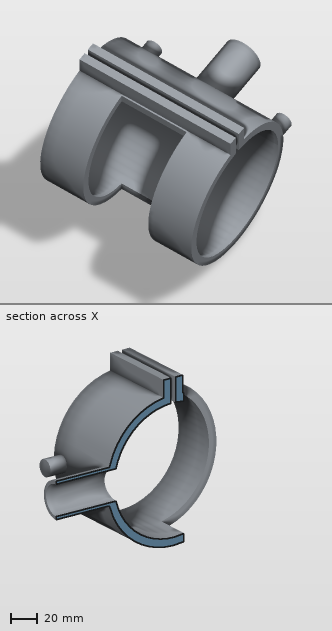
import cadquery as cq

length = 140.0
outer_radius = 62.0
wall = 7.0
inner_radius = outer_radius - wall

flange_top = 76.0
slit_width = 4.1
flange_thickness = wall

window_width = 60.2
window_back_y = -10.3

overall_depth = 171.9
spigot_end_y = overall_depth - outer_radius
spigot_radius = 16.0
bore_radius = 13.0

pin_end_y = 77.4
pin_radius = 7.2
pin_offset = 60.0


def back_cylinder(radius, x, end_y):
    """Cylinder along Y, from the ring axis out to end_y."""
    return cq.Workplane("XZ").center(x, 0).circle(radius).extrude(-end_y)


def ring_cylinder(radius):
    """Cylinder along the ring axis, centred on the origin."""
    return cq.Workplane("YZ", origin=(-length / 2, 0, 0)).circle(radius).extrude(length)


flange_block_width = slit_width + 2 * flange_thickness
flange_block = cq.Workplane("XY").box(
    length, flange_block_width, flange_top, centered=(True, True, False)
)
body = ring_cylinder(outer_radius).union(flange_block)
body = body.union(back_cylinder(spigot_radius, 0, spigot_end_y))
for side in (-1, 1):
    body = body.union(back_cylinder(pin_radius, side * pin_offset, pin_end_y))

slit = cq.Workplane("XY").box(length, slit_width, flange_top, centered=(True, True, False))
body = body.cut(ring_cylinder(inner_radius)).cut(slit)
body = body.cut(back_cylinder(bore_radius, 0, spigot_end_y))

window_depth = outer_radius + window_back_y
window = (
    cq.Workplane("XY")
    .box(window_width, window_depth, 2 * outer_radius)
    .translate((0, window_back_y - window_depth / 2, 0))
)
result = body.cut(window)